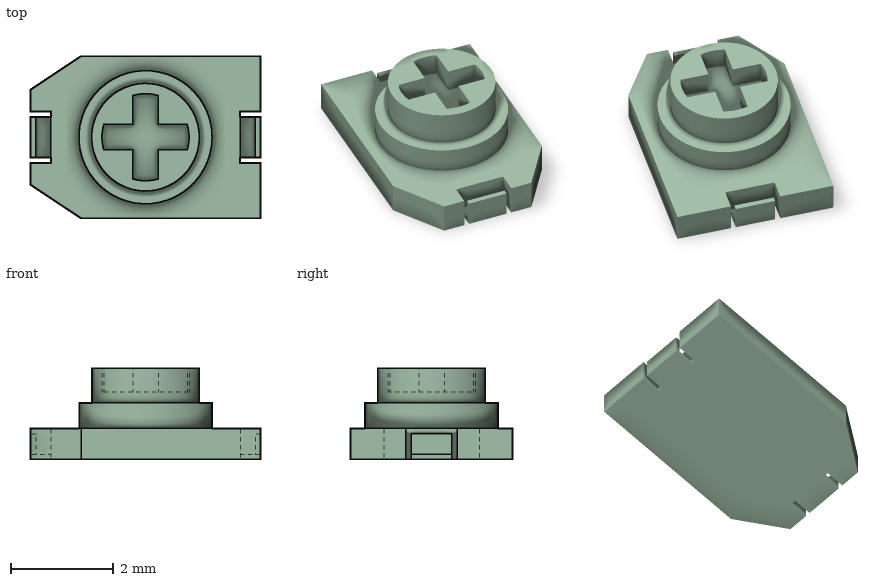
import cadquery as cq

base_length = 4.49
base_width = 3.17
base_height = 0.6
corner_cut_x = 0.99
corner_cut_y = 0.655
notch_width = 1.0
notch_depth = 0.4

collar_diameter = 2.6
collar_height = 0.5
knob_diameter = 2.1
knob_height = 0.68
cross_span = 1.7
cross_slot_width = 0.5
cross_depth = 0.46

terminal_width = 0.8
sheet_thickness = 0.1
terminal_height = base_height - sheet_thickness

half_length = base_length / 2
half_width = base_width / 2
knob_bottom = base_height + collar_height


def make_base():
    """Plate with the two -X corners cut off and a notch through each end."""
    outline = [
        (half_length, -half_width),
        (half_length, half_width),
        (corner_cut_x - half_length, half_width),
        (-half_length, half_width - corner_cut_y),
        (-half_length, corner_cut_y - half_width),
        (corner_cut_x - half_length, -half_width),
    ]
    plate = cq.Workplane("XY").polyline(outline).close().extrude(base_height)
    notches = (
        cq.Workplane("XY")
        .pushPoints([(-half_length, 0), (half_length, 0)])
        .rect(2 * notch_depth, notch_width)
        .extrude(base_height)
    )
    return plate.cut(notches)


def make_collar():
    """Plain disc on top of the base."""
    return cq.Workplane("XY").workplane(offset=base_height).circle(collar_diameter / 2).extrude(collar_height)


def make_knob():
    """Cylinder with a round-ended cross recess in its top face."""
    cylinder = cq.Workplane("XY").workplane(offset=knob_bottom).circle(knob_diameter / 2).extrude(knob_height)
    recess_plane = cq.Workplane("XY").workplane(offset=knob_bottom + knob_height - cross_depth)
    slot_x = recess_plane.rect(cross_span, cross_slot_width).extrude(cross_depth)
    slot_y = recess_plane.rect(cross_slot_width, cross_span).extrude(cross_depth)
    round_limit = recess_plane.circle(cross_span / 2).extrude(cross_depth)
    return cylinder.cut(slot_x.union(slot_y).intersect(round_limit))


def make_foot(side):
    """Flat strip level with the underside of the base; side is -1 for the -X end, +1 for the +X end."""
    center_x = side * (half_length - notch_depth / 2)
    return cq.Workplane("XY").center(center_x, 0).rect(notch_depth, terminal_width).extrude(sheet_thickness)


def make_tab(side):
    """Upright strip standing on the outer edge of a foot."""
    center_x = side * (half_length - sheet_thickness / 2)
    return (
        cq.Workplane("XY")
        .workplane(offset=sheet_thickness)
        .center(center_x, 0)
        .rect(sheet_thickness, terminal_width)
        .extrude(terminal_height - sheet_thickness)
    )


base = make_base()
collar = make_collar()
knob = make_knob()

terminals = []
for end in (-1, 1):
    terminals.append(make_foot(end).val())
    terminals.append(make_tab(end).val())

result = cq.Compound.makeCompound([base.val(), collar.val(), knob.val(), *terminals])